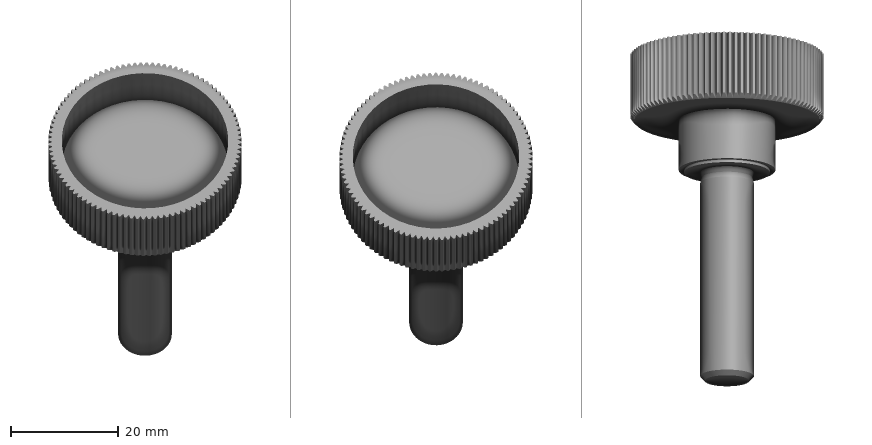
import cadquery as cq
import math

total_length = 62.5
knob_height = 12.5
hub_bottom_depth = 22.0
collar_bottom_depth = 22.5
neck_waist_depth = 23.5
neck_end_depth = 24.5

knob_diameter = 36.0
cup_diameter = 31.0
hub_diameter = 18.0
collar_diameter = 16.0
stud_diameter = 10.0
neck_waist_diameter = 9.5

knob_chamfer = 0.8
stud_chamfer = 0.9
cup_depth = 8.5
tooth_count = 100
groove_depth = 0.75
groove_mouth_fraction = 0.7


def make_turned_body():
    """Revolve the half profile of knob, hub, collar, necked stud and cup about Z."""
    knob_radius = knob_diameter / 2
    cup_radius = cup_diameter / 2
    hub_radius = hub_diameter / 2
    collar_radius = collar_diameter / 2
    stud_radius = stud_diameter / 2
    waist_radius = neck_waist_diameter / 2
    profile = [
        (0, -cup_depth),
        (cup_radius, -cup_depth),
        (cup_radius, 0),
        (knob_radius, 0),
        (knob_radius, knob_chamfer - knob_height),
        (knob_radius - knob_chamfer, -knob_height),
        (hub_radius, -knob_height),
        (hub_radius, -hub_bottom_depth),
        (collar_radius, -hub_bottom_depth),
        (collar_radius, -collar_bottom_depth),
        (stud_radius, -collar_bottom_depth),
        (waist_radius, -neck_waist_depth),
        (stud_radius, -neck_end_depth),
        (stud_radius, stud_chamfer - total_length),
        (stud_radius - stud_chamfer, -total_length),
        (0, -total_length),
    ]
    return cq.Workplane("XZ").polyline(profile).close().revolve(360, (0, 0), (0, 1))


def make_toothed_blank():
    """Prism of pointed teeth, with a groove root on the +X axis.

    The groove flanks run on past the knob surface until they meet, so trimming
    the points back to the knob cylinder leaves a narrow round land on each tooth.
    """
    root_radius = knob_diameter / 2 - groove_depth
    point_radius = root_radius + groove_depth / groove_mouth_fraction
    half_pitch = math.pi / tooth_count
    outline = []
    for corner in range(2 * tooth_count):
        radius = point_radius if corner % 2 else root_radius
        angle = corner * half_pitch
        outline.append((radius * math.cos(angle), radius * math.sin(angle)))
    return cq.Workplane("XY").polyline(outline).close().extrude(-total_length)


result = make_turned_body().intersect(make_toothed_blank())